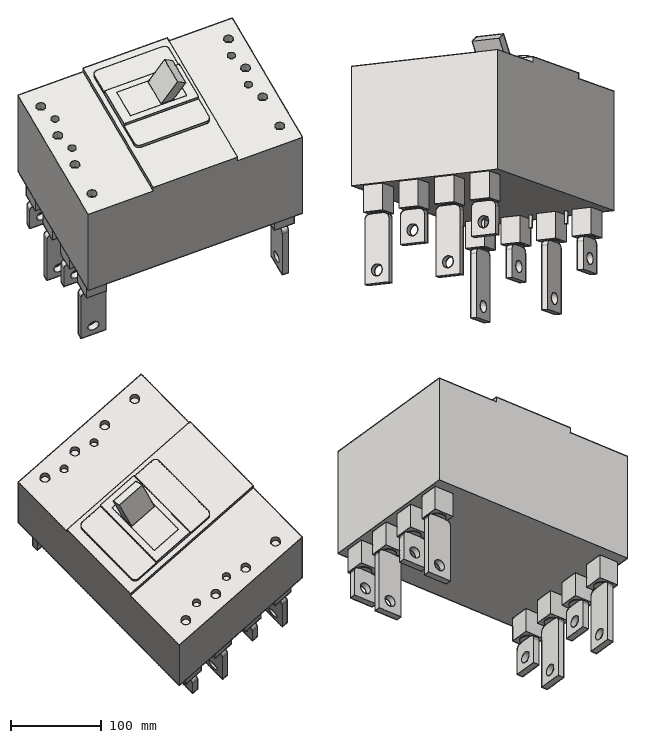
import cadquery as cq
import math

HOUSING_X = 185.0
HOUSING_Y = 260.0
HOUSING_Z = 134.3
STEP_Y = 102.2
STEP_Z = 6.3

POLE_PITCH = 45.0
POLE_COUNT = 4
POLES_X = [(i - (POLE_COUNT - 1) / 2) * POLE_PITCH for i in range(POLE_COUNT)]
POLE_Y = 113.7
MOUNTS_X = [-POLE_PITCH, 0]
MOUNT_Y = 106.8
ROW_SIDES = (-1, 1)
ACCESS_DIAMETER = 10.5
MOUNT_HOLE_DIAMETER = 9.0
TOP_HOLE_DEPTH = 11.5

POST_SIDE = 24.3
POST_LENGTH = 30.0
NECK_DIAMETER = 19.0
NECK_LENGTH = 1.1
BLADE_WIDTH = 30.3
BLADE_THICKNESS = 7.7
BLADE_CORNER = 6.0
BLADE_HOLE_DIAMETER = 13.5
BLADE_HOLE_TO_END = 15.0
SHORT_REACH = 69.3
LONG_REACH = 109.6

PIN_DIAMETER = 4.0
PIN_REACH = 14.0

PLATE_CENTRE_X = POLES_X[1]
PLATE_X = 116.0
PLATE_Y = 90.5
PLATE_Z = 4.0
PLATE_CORNER = 5.7
RIB_X = 51.0
RIB_Z = 3.5

OVERALL_Z = 286.3
LEVER_X = 34.4
LEVER_THICKNESS = 12.0
LEVER_LEAN = 35.0
LEVER_FRONT_Y = 3.5
LEVER_BASE_X = 36.5
LEVER_BASE_Y = 68.0

STEP_TOP = HOUSING_Z + STEP_Z
RIB_TOP = STEP_TOP + PLATE_Z + RIB_Z
LEVER_TOP = OVERALL_Z - LONG_REACH
TOP_HOLE_FLOOR = HOUSING_Z - TOP_HOLE_DEPTH


def block(x, y, z_low, z_high):
    """A box centred on the Z axis between two heights."""
    return cq.Workplane("XY", origin=(0, 0, z_low)).rect(x, y).extrude(z_high - z_low)


def rod(diameter, z_low, z_high):
    """A cylinder on the Z axis between two heights."""
    return cq.Workplane("XY", origin=(0, 0, z_low)).circle(diameter / 2).extrude(z_high - z_low)


def make_terminal(reach):
    """A terminal whose blade ends at a depth of reach, facing Y."""
    neck_low = -POST_LENGTH - NECK_LENGTH
    post = block(POST_SIDE, POST_SIDE, -POST_LENGTH, 0)
    neck = rod(NECK_DIAMETER, neck_low, -POST_LENGTH)
    blade = block(BLADE_WIDTH, BLADE_THICKNESS, -reach, neck_low).edges("|Y and >Z").fillet(BLADE_CORNER)
    hole = (
        cq.Workplane("XZ", origin=(0, 0, BLADE_HOLE_TO_END - reach))
        .circle(BLADE_HOLE_DIAMETER / 2)
        .extrude(BLADE_THICKNESS, both=True)
    )
    return post.union(neck).union(blade.cut(hole))


def cut_top_holes(housing):
    """Blind access holes over the terminals and mounting holes between them."""
    access = rod(ACCESS_DIAMETER, TOP_HOLE_FLOOR, HOUSING_Z)
    mount = rod(MOUNT_HOLE_DIAMETER, TOP_HOLE_FLOOR, HOUSING_Z)
    for side in ROW_SIDES:
        for x in POLES_X:
            housing = housing.cut(access.translate((x, side * POLE_Y, 0)))
        for x in MOUNTS_X:
            housing = housing.cut(mount.translate((x, side * MOUNT_Y, 0)))
    return housing


def add_terminals(housing):
    """Two rows of alternating short and long terminals; the -Y row is turned to face X."""
    for side in ROW_SIDES:
        for i, x in enumerate(POLES_X):
            terminal = make_terminal(LONG_REACH if i % 2 else SHORT_REACH)
            if side < 0:
                terminal = terminal.rotate((0, 0, 0), (0, 0, 1), 90)
            housing = housing.union(terminal.translate((x, side * POLE_Y, 0)))
    return housing


def make_housing():
    """Box with a raised step across its middle, carrying the terminals."""
    box = block(HOUSING_X, HOUSING_Y, 0, HOUSING_Z)
    step = block(HOUSING_X, STEP_Y, HOUSING_Z, STEP_TOP)
    return add_terminals(cut_top_holes(box.union(step)))


def make_plate():
    """Rounded plate with a raised rib and a through window for the lever base."""
    plate = block(PLATE_X, PLATE_Y, STEP_TOP, STEP_TOP + PLATE_Z).edges("|Z").fillet(PLATE_CORNER)
    rib = block(RIB_X, PLATE_Y, STEP_TOP, RIB_TOP)
    window = block(LEVER_BASE_X, LEVER_BASE_Y, STEP_TOP, RIB_TOP)
    return plate.union(rib).cut(window).translate((PLATE_CENTRE_X, 0, 0))


def make_lever():
    """Flush base with a leaning rectangular handle."""
    base = block(LEVER_BASE_X, LEVER_BASE_Y, STEP_TOP, RIB_TOP)
    lean = math.radians(LEVER_LEAN)
    tip_y = LEVER_FRONT_Y + (LEVER_TOP - RIB_TOP) * math.tan(lean)
    foot_y = LEVER_FRONT_Y + LEVER_THICKNESS / math.cos(lean)
    back_tip = (tip_y + LEVER_THICKNESS * math.cos(lean), LEVER_TOP - LEVER_THICKNESS * math.sin(lean))
    handle = (
        cq.Workplane("YZ")
        .polyline([(LEVER_FRONT_Y, RIB_TOP), (tip_y, LEVER_TOP), back_tip, (foot_y, RIB_TOP)])
        .close()
        .extrude(LEVER_X / 2, both=True)
    )
    return base.union(handle).translate((PLATE_CENTRE_X, 0, 0))


def make_pin(x):
    """A pin standing out below the housing."""
    return rod(PIN_DIAMETER, -PIN_REACH, 0).translate((x, -MOUNT_Y, 0))


housing = make_housing()
plate = make_plate()
lever = make_lever()
pins = [make_pin(x) for x in MOUNTS_X]

result = cq.Compound.makeCompound([housing.val(), plate.val(), lever.val(), *[pin.val() for pin in pins]])